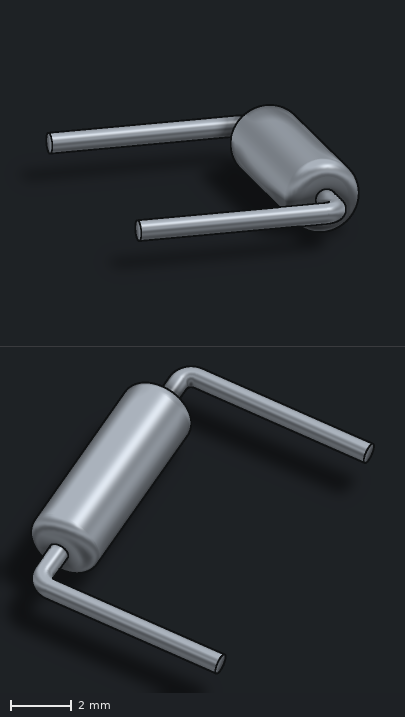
import cadquery as cq

overall_width = 10.86
overall_depth = 8.28

body_diameter = 2.55
body_length = 7.12
body_edge_radius = 0.49

lead_diameter = 0.71
bend_radius = 0.5

lead_x = (overall_width - lead_diameter) / 2
lead_tip_y = body_diameter / 2 - overall_depth


def make_body():
    """Cylinder along X with rounded end edges, centred on the origin."""
    return (
        cq.Workplane("YZ", origin=(-body_length / 2, 0, 0))
        .circle(body_diameter / 2)
        .extrude(body_length)
        .edges("%CIRCLE")
        .fillet(body_edge_radius)
    )


def make_leads():
    """One continuous wire through the body axis, bent toward -Y at both ends."""
    straight_x = lead_x - bend_radius
    path = (
        cq.Workplane("XY")
        .moveTo(-lead_x, lead_tip_y)
        .lineTo(-lead_x, -bend_radius)
        .tangentArcPoint((-straight_x, 0), relative=False)
        .lineTo(straight_x, 0)
        .tangentArcPoint((lead_x, -bend_radius), relative=False)
        .lineTo(lead_x, lead_tip_y)
    )
    return (
        cq.Workplane("XZ", origin=(-lead_x, lead_tip_y, 0))
        .circle(lead_diameter / 2)
        .sweep(path)
    )


result = make_body().union(make_leads())